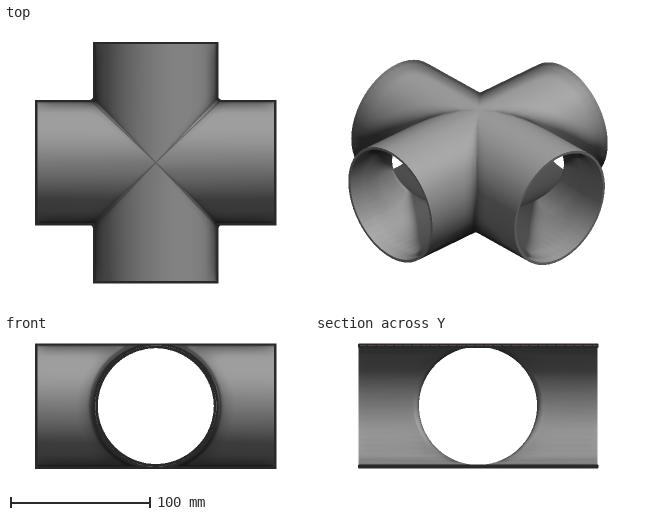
import cadquery as cq

overall_length = 172.0
outer_diameter = 89.0
bore_diameter = 85.0
outer_fillet_radius = 2.0

wall_thickness = (outer_diameter - bore_diameter) / 2
bore_fillet_radius = outer_fillet_radius + wall_thickness


def cylinder(plane, diameter):
    """A cylinder of the overall length, centred on the origin along the normal of the plane."""
    return cq.Workplane(plane).circle(diameter / 2).extrude(overall_length / 2, both=True)


def rounded_cross(diameter, fillet_radius):
    """Equal cylinders along X and Y, with their crossing seams rounded."""
    cross = cylinder("YZ", diameter).union(cylinder("XZ", diameter))
    seams = [edge for edge in cross.edges().vals() if edge.geomType() == "ELLIPSE"]
    return cross.newObject(seams).fillet(fillet_radius)


pipes = rounded_cross(outer_diameter, outer_fillet_radius)
bores = rounded_cross(bore_diameter, bore_fillet_radius)
result = pipes.cut(bores)